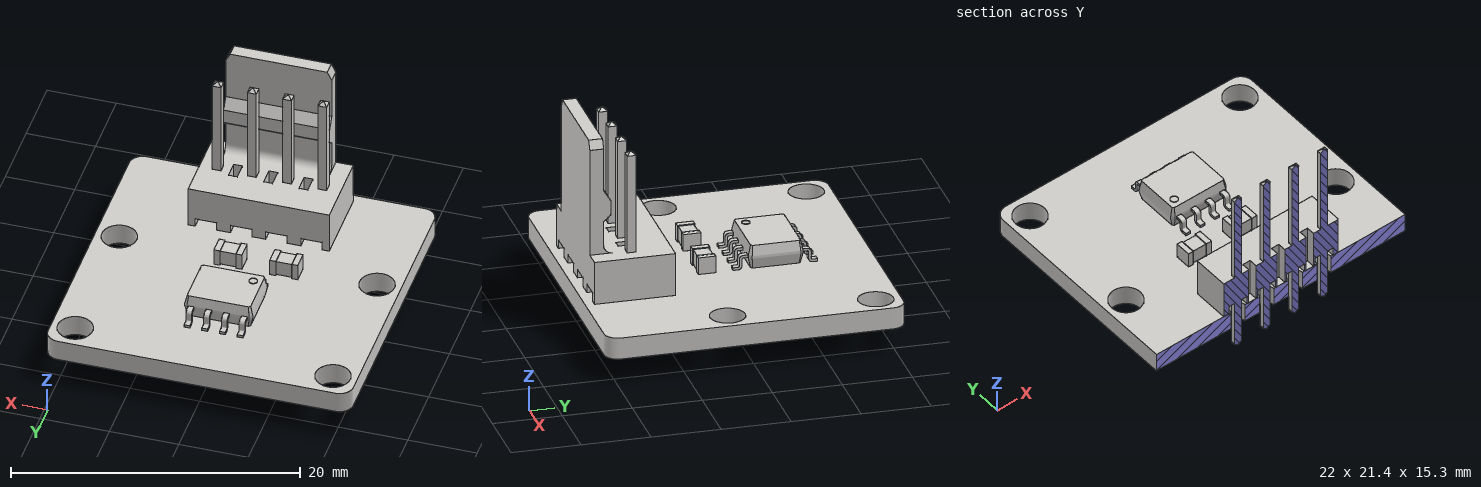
import cadquery as cq
import math


BOARD_X = 22.0
BOARD_Y = 21.4
BOARD_THICKNESS = 1.6
CORNER_RADIUS = 1.0
MOUNT_HOLE_DIAMETER = 2.5
MOUNT_HOLE_X = 9.28
MOUNT_HOLE_ROWS_Y = (8.9, -1.67)
PIN_HOLE_DIAMETER = 1.2

PIN_COUNT = 4
PIN_ROW_LENGTH = 7.61
PIN_PITCH = PIN_ROW_LENGTH / (PIN_COUNT - 1)
HEADER_X = 10.16
HEADER_CENTRE_X = 0.02
HEADER_FRONT_Y = -10.05
HEADER_DEPTH = 5.79
HEADER_HEIGHT = 3.17
FOOT_SLOT_WIDTH = 1.55
FOOT_SLOT_HEIGHT = 0.64
WINDOW_X = 0.64
WINDOW_Y = 1.25

TOTAL_HEIGHT = 15.27
WALL_X = 7.65
WALL_THICKNESS = 1.0
WALL_FILLET = 0.62
WALL_BEVEL_X = 0.33
WALL_BEVEL_Z = 0.64
RIDGE_DEPTH = 0.5
RIDGE_FOOT = 2.42
RIDGE_LOW_EDGE = 2.88
RIDGE_HIGH_EDGE = 3.95
RIDGE_END = 4.77

PIN_WIDTH = 0.64
PIN_Y = -7.15
PIN_BELOW_BOARD = 1.91
PIN_TIP_BELOW_WALL_TOP = 1.03
PIN_POINT_HEIGHT = 0.22
PIN_POINT_WIDTH = 0.1

CHIP_X = 4.9
CHIP_Y = 3.92
CHIP_CENTRE_Y = 3.65
CHIP_STANDOFF = 0.09
CHIP_TOP = 1.8
CHIP_CORNER_BEVEL = 0.22
CHIP_INSET = 0.18
MARK_DIAMETER = 0.6
MARK_X = -1.63
MARK_Y = 2.55
MARK_DEPTH = 0.05

LEADS_PER_SIDE = 4
LEAD_PITCH = 1.28
LEAD_WIDTH = 0.42
LEAD_THICKNESS = 0.2
LEAD_TOP = 1.05
LEAD_SHANK_Y = 2.57
LEAD_END_Y = 3.01
LEAD_INNER_RADIUS = 0.09
LEAD_OUTER_RADIUS = LEAD_INNER_RADIUS + LEAD_THICKNESS

CAPACITOR_CENTRES_X = (-2.88, 1.15)
CAPACITOR_Y = -1.23
CAPACITOR_LENGTH = 2.02
CAPACITOR_WIDTH = 1.25
CAPACITOR_HEIGHT = 1.25
TERMINAL_LENGTH = 0.45
TERMINAL_LIP = 0.07

HEADER_CENTRE_Y = HEADER_FRONT_Y + HEADER_DEPTH / 2
WALL_BACK_Y = HEADER_FRONT_Y + WALL_THICKNESS
WALL_TOP = TOTAL_HEIGHT - BOARD_THICKNESS - PIN_BELOW_BOARD
PIN_BOTTOM = -BOARD_THICKNESS - PIN_BELOW_BOARD
PIN_TOP = WALL_TOP - PIN_TIP_BELOW_WALL_TOP


def row(count, pitch):
    """Positions of `count` items spaced by `pitch` and centred on zero."""
    return [(i - (count - 1) / 2) * pitch for i in range(count)]


PIN_PLACES = [(HEADER_CENTRE_X + x, PIN_Y) for x in row(PIN_COUNT, PIN_PITCH)]
WINDOW_PLACES = [(HEADER_CENTRE_X + x, PIN_Y) for x in row(PIN_COUNT - 1, PIN_PITCH)]


def make_board():
    """Rounded plate with four mounting holes and a row of pin holes."""
    mount_places = [(side * MOUNT_HOLE_X, y) for side in (-1, 1) for y in MOUNT_HOLE_ROWS_Y]
    plate = (
        cq.Workplane("XY")
        .workplane(offset=-BOARD_THICKNESS)
        .rect(BOARD_X, BOARD_Y)
        .extrude(BOARD_THICKNESS)
        .edges("|Z")
        .fillet(CORNER_RADIUS)
    )
    top = plate.faces(">Z").workplane(origin=(0, 0, 0))
    plate = top.pushPoints(mount_places).hole(MOUNT_HOLE_DIAMETER)
    top = plate.faces(">Z").workplane(origin=(0, 0, 0))
    return top.pushPoints(PIN_PLACES).hole(PIN_HOLE_DIAMETER)


def make_latch_wall():
    """Upright wall with a latch ridge, a foot fillet and bevelled upper corners."""
    base = HEADER_HEIGHT
    ridge_y = WALL_BACK_Y + RIDGE_DEPTH
    fillet_mid = WALL_FILLET * (1 - math.sqrt(0.5))
    wall = (
        cq.Workplane("YZ", origin=(HEADER_CENTRE_X, 0, 0))
        .moveTo(HEADER_FRONT_Y, base)
        .lineTo(WALL_BACK_Y + WALL_FILLET, base)
        .threePointArc((WALL_BACK_Y + fillet_mid, base + fillet_mid), (WALL_BACK_Y, base + WALL_FILLET))
        .lineTo(WALL_BACK_Y, base + RIDGE_FOOT)
        .lineTo(ridge_y, base + RIDGE_LOW_EDGE)
        .lineTo(ridge_y, base + RIDGE_HIGH_EDGE)
        .lineTo(WALL_BACK_Y, base + RIDGE_END)
        .lineTo(WALL_BACK_Y, WALL_TOP)
        .lineTo(HEADER_FRONT_Y, WALL_TOP)
        .close()
        .extrude(WALL_X / 2, both=True)
    )
    for side in (-1, 1):
        bevel = (
            cq.Workplane("XZ", origin=(HEADER_CENTRE_X, HEADER_FRONT_Y, 0))
            .moveTo(side * WALL_X / 2, WALL_TOP)
            .lineTo(side * (WALL_X / 2 - WALL_BEVEL_X), WALL_TOP)
            .lineTo(side * WALL_X / 2, WALL_TOP - WALL_BEVEL_Z)
            .close()
            .extrude(-WALL_THICKNESS)
        )
        wall = wall.cut(bevel)
    return wall


def make_pin(x, y):
    """Square pin, pointed at both ends."""
    shank_bottom = PIN_BOTTOM + PIN_POINT_HEIGHT
    shank_top = PIN_TOP - PIN_POINT_HEIGHT
    pin = (
        cq.Workplane("XY", origin=(x, y, shank_bottom))
        .rect(PIN_WIDTH, PIN_WIDTH)
        .extrude(shank_top - shank_bottom)
    )
    for shoulder, direction in ((shank_top, 1), (shank_bottom, -1)):
        point = (
            cq.Workplane("XY", origin=(x, y, shoulder))
            .rect(PIN_WIDTH, PIN_WIDTH)
            .workplane(offset=direction * PIN_POINT_HEIGHT)
            .rect(PIN_POINT_WIDTH, PIN_POINT_WIDTH)
            .loft()
        )
        pin = pin.union(point)
    return pin


def make_header():
    """Housing with foot slots, windows between the pins, the latch wall and the moulded-in pins."""
    header = (
        cq.Workplane("XY", origin=(HEADER_CENTRE_X, HEADER_CENTRE_Y, 0))
        .rect(HEADER_X, HEADER_DEPTH)
        .extrude(HEADER_HEIGHT)
    )
    slots = (
        cq.Workplane("XY", origin=(HEADER_CENTRE_X, HEADER_CENTRE_Y, 0))
        .pushPoints([(x, 0) for x in row(PIN_COUNT, PIN_PITCH)])
        .rect(FOOT_SLOT_WIDTH, HEADER_DEPTH)
        .extrude(FOOT_SLOT_HEIGHT)
    )
    windows = (
        cq.Workplane("XY")
        .pushPoints(WINDOW_PLACES)
        .rect(WINDOW_X, WINDOW_Y)
        .extrude(HEADER_HEIGHT)
    )
    header = header.cut(slots).cut(windows).union(make_latch_wall())
    for x, y in PIN_PLACES:
        header = header.union(make_pin(x, y))
    return header


def make_chip_lead(x, side):
    """Gull-wing lead on the +Y (side = 1) or -Y (side = -1) edge of the chip."""
    lead_bottom = LEAD_TOP - LEAD_THICKNESS
    inner_shank_y = LEAD_SHANK_Y - LEAD_THICKNESS
    upper_arm = [(0, lead_bottom), (0, LEAD_TOP), (LEAD_SHANK_Y, LEAD_TOP)]
    foot = [
        (LEAD_SHANK_Y, LEAD_THICKNESS),
        (LEAD_END_Y, LEAD_THICKNESS),
        (LEAD_END_Y, 0),
        (inner_shank_y, 0),
        (inner_shank_y, lead_bottom),
    ]
    lead = (
        cq.Workplane("YZ", origin=(x - LEAD_WIDTH / 2, 0, 0))
        .polyline(upper_arm + foot)
        .close()
        .extrude(LEAD_WIDTH)
    )
    outer_bends = [(LEAD_SHANK_Y, LEAD_TOP), (inner_shank_y, 0)]
    inner_bends = [(LEAD_SHANK_Y, LEAD_THICKNESS), (inner_shank_y, lead_bottom)]
    for bends, radius in ((outer_bends, LEAD_OUTER_RADIUS), (inner_bends, LEAD_INNER_RADIUS)):
        for y, z in bends:
            lead = lead.edges(cq.selectors.NearestToPointSelector((x, y, z))).fillet(radius)
    if side < 0:
        lead = lead.mirror("XZ")
    return lead.translate((0, CHIP_CENTRE_Y, 0))


def chip_layer(z, height, taper):
    """Slice of the chip body with bevelled corners; a negative height is built downwards."""
    outline = cq.Sketch().rect(CHIP_X, CHIP_Y).vertices().chamfer(CHIP_CORNER_BEVEL)
    plane = cq.Workplane("XY", origin=(0, CHIP_CENTRE_Y, z))
    return plane.placeSketch(outline).extrude(height, taper=taper)


def make_chip():
    """Moulded body, tapered above and below its lead band, with its leads and a pin-one mark."""
    band_bottom = LEAD_TOP - LEAD_THICKNESS
    upper_height = CHIP_TOP - LEAD_TOP
    lower_height = band_bottom - CHIP_STANDOFF
    taper = math.degrees(math.atan(CHIP_INSET / upper_height))
    chip = chip_layer(band_bottom, LEAD_THICKNESS, 0)
    chip = chip.union(chip_layer(LEAD_TOP, upper_height, taper))
    chip = chip.union(chip_layer(band_bottom, -lower_height, taper))
    for x in row(LEADS_PER_SIDE, LEAD_PITCH):
        for side in (-1, 1):
            chip = chip.union(make_chip_lead(x, side))
    mark = (
        cq.Workplane("XY", origin=(MARK_X, MARK_Y, CHIP_TOP - MARK_DEPTH))
        .circle(MARK_DIAMETER / 2)
        .extrude(MARK_DEPTH)
    )
    return chip.cut(mark)


def make_capacitor(x):
    """Block with two end terminals standing slightly proud of its middle."""
    middle = (
        cq.Workplane("XY", origin=(x, CAPACITOR_Y, TERMINAL_LIP))
        .rect(CAPACITOR_LENGTH - TERMINAL_LENGTH, CAPACITOR_WIDTH - 2 * TERMINAL_LIP)
        .extrude(CAPACITOR_HEIGHT - 2 * TERMINAL_LIP)
    )
    terminal_offset = (CAPACITOR_LENGTH - TERMINAL_LENGTH) / 2
    terminals = (
        cq.Workplane("XY", origin=(x, CAPACITOR_Y, 0))
        .pushPoints([(-terminal_offset, 0), (terminal_offset, 0)])
        .rect(TERMINAL_LENGTH, CAPACITOR_WIDTH)
        .extrude(CAPACITOR_HEIGHT)
    )
    return middle.union(terminals)


board = make_board()
header = make_header()
chip = make_chip()
capacitors = [make_capacitor(x) for x in CAPACITOR_CENTRES_X]

result = cq.Compound.makeCompound(
    [board.val(), header.val(), chip.val(), *[capacitor.val() for capacitor in capacitors]]
)